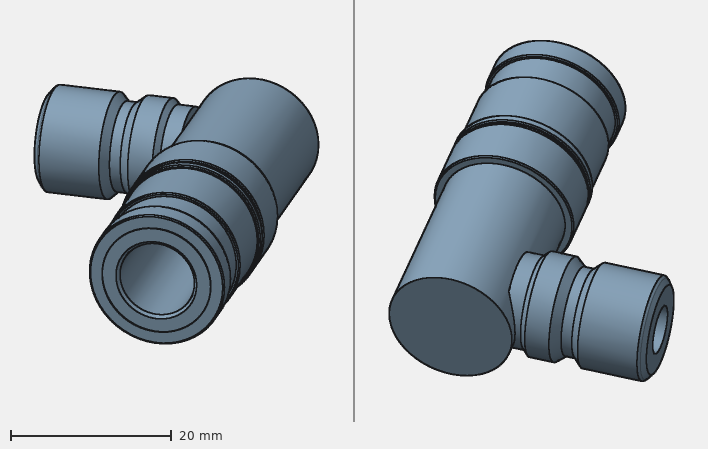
import cadquery as cq

body_length = 45.0
body_radius = 8.0
shoulder_y = 23.05

collar_radius = 9.1
collar_front_y = 16.65
ring_back_y = 16.15
ring_front_y = 15.0
ring_groove_radius = 8.75
sleeve_radius = 8.75
sleeve_front_y = 7.15
end_groove_radius = 8.3
rim_back_y = 3.2
edge_chamfer = 0.2

inner_sleeve_radius = 7.0
inner_sleeve_step = 0.15

socket_radius = 4.8
socket_mouth_radius = 5.2
socket_mouth_depth = socket_mouth_radius - socket_radius
socket_depth = shoulder_y
cable_bore_radius = 3.05
end_wall = 3.6

branch_y = body_length - 7.3
branch_length = 25.0
branch_radius = 6.75
branch_groove_radius = 5.7
branch_neck_radius = 6.05
nose_face_radius = 5.7
nose_middle_radius = 6.5
nose_middle_depth = 0.6
nose_depth = 0.9
groove_start = 8.65
groove_floor_start = 9.7
groove_floor_end = 11.1
groove_end = 12.38
flange_end = 15.52
neck_start = 16.3
neck_end = 18.55


def chamfered_band(front, back, radius):
    """Outline points (radius, distance) of a band with both rims chamfered."""
    return [
        (radius - edge_chamfer, front),
        (radius, front + edge_chamfer),
        (radius, back - edge_chamfer),
        (radius - edge_chamfer, back),
    ]


def make_body():
    outline = [(0, 0), (inner_sleeve_radius, 0), (inner_sleeve_radius, inner_sleeve_step)]
    outline += chamfered_band(inner_sleeve_step, rim_back_y, sleeve_radius)
    outline += [
        (end_groove_radius, rim_back_y),
        (end_groove_radius, sleeve_front_y),
        (sleeve_radius - edge_chamfer, sleeve_front_y),
        (sleeve_radius, sleeve_front_y + edge_chamfer),
        (sleeve_radius, ring_front_y),
    ]
    outline += chamfered_band(ring_front_y, ring_back_y, collar_radius)
    outline += [(ring_groove_radius, ring_back_y), (ring_groove_radius, collar_front_y)]
    outline += chamfered_band(collar_front_y, shoulder_y, collar_radius)
    outline += [(body_radius, shoulder_y), (body_radius, body_length), (0, body_length)]
    return cq.Workplane("XY").polyline(outline).close().revolve(360, (0, 0, 0), (0, 1, 0))


def make_branch():
    """Revolve the branch about its own axis; its neck ends flat inside the body."""
    outline = [
        (0, 0),
        (0, nose_face_radius),
        (nose_middle_depth, nose_middle_radius),
        (nose_depth, branch_radius),
        (groove_start, branch_radius),
        (groove_floor_start, branch_groove_radius),
        (groove_floor_end, branch_groove_radius),
        (groove_end, branch_radius),
        (flange_end, branch_radius),
        (neck_start, branch_neck_radius),
        (neck_end, branch_neck_radius),
        (neck_end, 0),
    ]
    branch = cq.Workplane("XY").polyline(outline).close().revolve(360, (0, 0, 0), (1, 0, 0))
    return branch.translate((-branch_length, branch_y, 0))


def make_socket():
    """Stepped bore along Y: chamfered mouth, wide socket, narrow cable bore."""
    bore_end = body_length - end_wall
    outline = [
        (0, 0),
        (socket_mouth_radius, 0),
        (socket_radius, socket_mouth_depth),
        (socket_radius, socket_depth),
        (cable_bore_radius, socket_depth),
        (cable_bore_radius, bore_end),
        (0, bore_end),
    ]
    return cq.Workplane("XY").polyline(outline).close().revolve(360, (0, 0, 0), (0, 1, 0))


def make_branch_bore():
    """Bore from the branch end face to the body axis, opening into the cable bore."""
    bore = cq.Workplane("YZ").circle(cable_bore_radius).extrude(branch_length)
    return bore.translate((-branch_length, branch_y, 0))


solid_elbow = make_body().union(make_branch())
bored_elbow = solid_elbow.cut(make_socket()).cut(make_branch_bore())

result = bored_elbow.translate((0, -body_length / 2, 0))